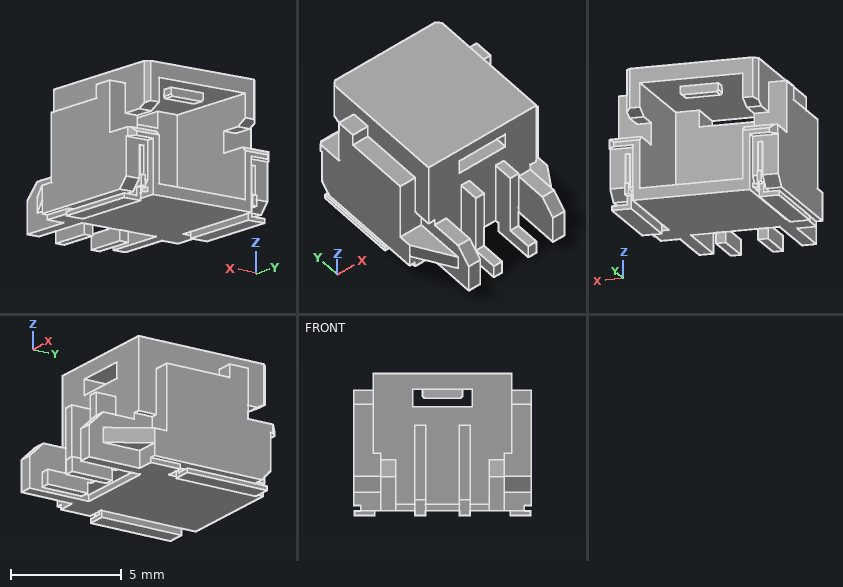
import cadquery as cq


total_width = 8.0
total_height = 6.4
front_y = 6.96
half_width = total_width / 2
pad_thickness = 0.21
base_z = pad_thickness

cover_half_width = 3.13
cover_corner_chamfer = 0.21
lower_half_width = 2.78
cover_step_z = 2.81

shell_top_z = 3.22
flange_corner_chamfer = 0.3
flange_edge_chamfer = 0.21
notch_y = 5.33
notch_top_z = 4.25
notch_lead_length = 0.57
notch_lead_height = 0.3

wing_bottom_z = 0.44
wing_rear_y = 0.28
wing_step_y = 0.95
wing_step_z = 1.77
wing_shoulder_z = 5.01
wing_peak_z = 5.65
wing_peak_rear_y = 4.33
wing_front_y = 6.55
wing_toe_length = 0.48
wing_toe_height = 0.52
wing_foot_half_width = 3.69
wing_foot_front_y = 1.86

cavity_half_width = 2.44
cavity_floor_z = 0.75
cavity_rear_y = 1.88
window_half_width = 1.335
window_bottom_z = 4.91
window_top_z = 5.69
nib_half_width = 0.9
nib_bottom_z = 5.28
nib_corner_chamfer = 0.08
nib_rear_y = 5.26
nib_front_y = 5.83
nib_undercut = 0.06

relief_top_z = 0.52
relief_depth = 0.75

arm_inner_x = 2.11
arm_outer_x = lower_half_width
arm_end_y = -2.44
arm_top_z = 2.51
arm_chamfer = 0.75
gusset_bottom_z = 1.05
gusset_top_z = wing_step_z
gusset_end_y = arm_end_y + arm_chamfer

pin_pitch = 2.0
pin_width = 0.48
pin_top_z = 4.06
pin_rear_y = -1.05
pin_heel_y = -0.2
pin_embed_y = 0.09
foot_top_z = 0.71
foot_end_y = -2.34

pad_inner_x = 3.05
pad_outer_x = 3.98
tab_outer_x = pad_inner_x + pad_thickness
tab_rear_y = 2.07
tab_front_y = 6.37
tab_wide_y = 6.71
tab_upper_y = 6.62
tab_wide_bottom_z = 0.61
tab_wide_top_z = 1.13
tab_top_z = arm_top_z


def block(x0, x1, y0, y1, z0, z1):
    """Box between two opposite corners."""
    return cq.Workplane("XY").box(x1 - x0, y1 - y0, z1 - z0, centered=False).translate((x0, y0, z0))


def centred_block(half_x, y0, y1, z0, z1):
    """Box symmetric about X = 0."""
    return block(-half_x, half_x, y0, y1, z0, z1)


def side_profile(points, x0, x1):
    """Prism along X from a (y, z) outline."""
    return cq.Workplane("YZ", origin=(x0, 0, 0)).polyline(points).close().extrude(x1 - x0)


def plan_profile(points, z0, z1):
    """Prism along Z from an (x, y) outline."""
    return cq.Workplane("XY", origin=(0, 0, z0)).polyline(points).close().extrude(z1 - z0)


def both_sides(body):
    """The body together with its mirror image across X = 0."""
    return body.union(body.mirror("YZ"))


def make_cover():
    """Upper part of the housing, notched below at the front for the side openings."""
    upper = centred_block(cover_half_width, 0, front_y, cover_step_z, total_height)
    upper = upper.edges("|Z and >Y").chamfer(cover_corner_chamfer)
    notch = side_profile(
        [
            (notch_y, cover_step_z),
            (front_y, cover_step_z),
            (front_y, notch_top_z + notch_lead_height),
            (front_y - notch_lead_length, notch_top_z),
            (notch_y, notch_top_z),
        ],
        -cover_half_width,
        cover_half_width,
    )
    return upper.cut(notch)


def make_shell():
    """Lower core, the flange around its front edge and the feet under the wings."""
    core = centred_block(lower_half_width, 0, front_y, base_z, cover_step_z)
    foot = centred_block(wing_foot_half_width, wing_rear_y, wing_foot_front_y, base_z, wing_bottom_z)
    flange = centred_block(half_width, notch_y, front_y, cover_step_z, shell_top_z)
    flange = flange.edges("|Z and >Y").chamfer(flange_corner_chamfer)
    edge_cut = side_profile(
        [
            (front_y, shell_top_z),
            (front_y - flange_edge_chamfer, shell_top_z),
            (front_y, shell_top_z - flange_edge_chamfer),
        ],
        -half_width,
        half_width,
    )
    return core.union(foot).union(flange.cut(edge_cut))


def make_wing():
    outline = [
        (wing_rear_y, wing_bottom_z),
        (wing_rear_y, wing_step_z),
        (wing_step_y, wing_step_z),
        (wing_step_y, wing_shoulder_z),
        (wing_peak_rear_y, wing_shoulder_z),
        (wing_peak_rear_y, wing_peak_z),
        (notch_y, wing_peak_z),
        (notch_y, cover_step_z),
        (wing_front_y, cover_step_z),
        (wing_front_y, wing_bottom_z + wing_toe_height),
        (wing_front_y - wing_toe_length, wing_bottom_z),
    ]
    return side_profile(outline, lower_half_width, half_width)


def make_arm():
    outline = [
        (wing_rear_y, base_z),
        (arm_end_y, base_z),
        (arm_end_y, arm_top_z - arm_chamfer),
        (arm_end_y + arm_chamfer, arm_top_z),
        (wing_rear_y, arm_top_z),
    ]
    arm = side_profile(outline, arm_inner_x, arm_outer_x)
    gusset = plan_profile(
        [(arm_outer_x, gusset_end_y), (half_width, wing_rear_y), (arm_outer_x, wing_rear_y)],
        gusset_bottom_z,
        gusset_top_z,
    )
    return arm.union(gusset)


def make_pin(x):
    outline = [
        (pin_embed_y, relief_top_z),
        (pin_heel_y, relief_top_z),
        (pin_heel_y, 0),
        (foot_end_y, 0),
        (foot_end_y, foot_top_z),
        (pin_rear_y, foot_top_z),
        (pin_rear_y, pin_top_z),
        (pin_embed_y, pin_top_z),
    ]
    return side_profile(outline, x - pin_width / 2, x + pin_width / 2)


def make_solder_tab():
    pad = block(pad_inner_x, pad_outer_x, tab_rear_y, tab_front_y, 0, pad_thickness)
    outline = [
        (tab_rear_y, 0),
        (tab_front_y, 0),
        (tab_front_y, tab_wide_bottom_z),
        (tab_wide_y, tab_wide_bottom_z),
        (tab_wide_y, tab_wide_top_z),
        (tab_upper_y, tab_wide_top_z),
        (tab_upper_y, tab_top_z),
        (tab_rear_y, tab_top_z),
    ]
    return pad.union(side_profile(outline, pad_inner_x, tab_outer_x))


def make_tab_wedge():
    """Small 45-degree web behind the tab, level with the underside of the wing."""
    reach = wing_front_y - tab_front_y
    outline = [
        (lower_half_width, wing_front_y),
        (lower_half_width + reach, tab_front_y),
        (lower_half_width, tab_front_y),
    ]
    return plan_profile(outline, wing_bottom_z, tab_wide_bottom_z)


def make_latch_nib():
    """Nib under the cavity roof whose rear face leans back into a hook."""
    nib = side_profile(
        [
            (nib_rear_y, nib_bottom_z),
            (nib_rear_y + nib_undercut, window_top_z),
            (nib_front_y, window_top_z),
            (nib_front_y, nib_bottom_z),
        ],
        -nib_half_width,
        nib_half_width,
    )
    return nib.faces("<Z").edges("<X or >X").chamfer(nib_corner_chamfer)


housing = make_cover().union(make_shell())
housing = housing.union(both_sides(make_wing().union(make_arm()).union(make_tab_wedge())))

housing = housing.cut(centred_block(cavity_half_width, cavity_rear_y, front_y, cavity_floor_z, window_top_z))
housing = housing.cut(centred_block(window_half_width, 0, cavity_rear_y, window_bottom_z, window_top_z))
housing = housing.cut(centred_block(arm_inner_x, 0, relief_depth, base_z, relief_top_z))

result = housing.union(make_latch_nib()).union(both_sides(make_solder_tab()))
result = result.union(both_sides(make_pin(pin_pitch / 2)))